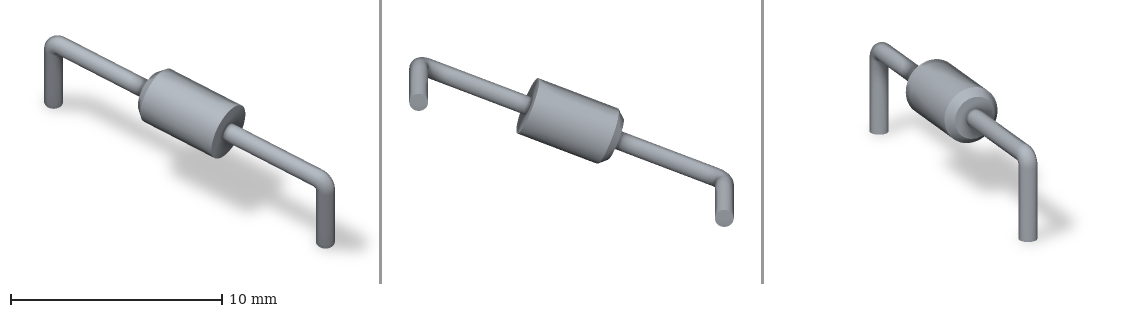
import cadquery as cq

overall_length = 16.6
overall_height = 5.6
body_diameter = 2.8
body_length = 4.5
chamfer_length = 0.4
chamfer_depth = 0.35
lead_diameter = 0.9
bend_inner_radius = 0.008

body_radius = body_diameter / 2
body_end_x = body_length / 2
lead_radius = lead_diameter / 2
bend_radius = lead_radius + bend_inner_radius
bend_start_x = overall_length / 2 - lead_radius - bend_radius
leg_bottom_z = body_radius - overall_height


def make_body():
    """Solid cylinder along X with one chamfered end on the -X side."""
    outline = [
        (-body_end_x, 0),
        (-body_end_x, body_radius - chamfer_depth),
        (-body_end_x + chamfer_length, body_radius),
        (body_end_x, body_radius),
        (body_end_x, 0),
    ]
    return cq.Workplane("XZ").polyline(outline).close().revolve(360, (0, 0), (1, 0))


def make_right_lead():
    """Round wire running out from the +X body face, then bent down into a leg."""
    leg_x = bend_start_x + bend_radius
    centreline = (
        cq.Workplane("XZ")
        .moveTo(body_end_x, 0)
        .lineTo(bend_start_x, 0)
        .radiusArc((leg_x, -bend_radius), bend_radius)
        .lineTo(leg_x, leg_bottom_z)
    )
    return cq.Workplane("YZ", origin=(body_end_x, 0, 0)).circle(lead_radius).sweep(centreline)


def make_lead(side):
    """Lead on the +X side (side = 1) or its mirror image on the -X side (side = -1)."""
    lead = make_right_lead()
    return lead if side > 0 else lead.mirror("YZ")


body = make_body()
leads = [make_lead(side) for side in (-1, 1)]

result = cq.Compound.makeCompound([body.val(), *[lead.val() for lead in leads]])